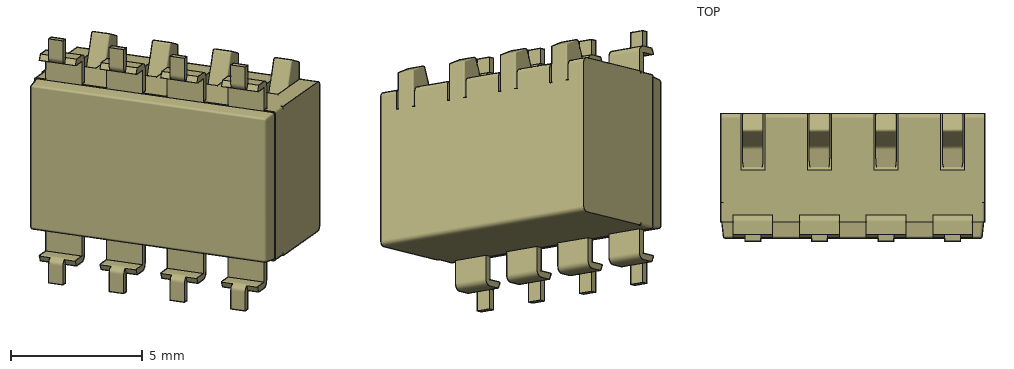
import cadquery as cq
import math


body_width = 10.06
body_height = 6.0
body_depth = 4.12
back_edge_radius = 0.19
front_band_depth = 0.72
front_band_radius = 0.1

cover_depth = 0.63
cover_step = 0.04
cover_draft = 0.07
cover_corner_radius = 0.1
cover_front_radius = 0.09

position_count = 4
pitch = 2.54

lead_thickness = 0.25
lead_width = 1.51
tail_width = 0.6
tail_tip_height = 4.9
shelf_height = 4.15
tail_front = 4.87
bend_radius = lead_thickness
blade_end_angle = 25.0
lead_embed = 0.2

slot_width = 0.92
slot_length = 2.16
slot_depth = 0.77
slot_floor_radius = 0.12

lever_width = 0.78
lever_back_height = 0.63
lever_peak_height = 0.93
lever_peak_depth = 0.68
lever_foot_depth = 1.28
lever_foot_drop = 0.65
lever_embed = 0.1
lever_edge_radius = 0.05
lever_peak_radius = 0.1
lever_foot_radius = 0.18

top = body_height / 2
position_centres = [(i - (position_count - 1) / 2) * pitch for i in range(position_count)]


def block(width, height, y_back, depth):
    """Box centred on X and Z that runs toward -Y from the plane y_back."""
    return cq.Workplane("XZ", origin=(0, y_back, 0)).rect(width, height).extrude(depth)


def extrude_across(profile, width):
    """Extrude a closed YZ profile symmetrically about X = 0."""
    return profile.extrude(width / 2, both=True)


def make_body():
    """Main block with rounded back edges, and a front band with rounded corners."""
    main_depth = body_depth - front_band_depth
    main = block(body_width, body_height, 0, main_depth)
    main = main.faces(">Y").edges("|X").fillet(back_edge_radius)
    band = block(body_width, body_height, -main_depth, front_band_depth)
    band = band.edges("|Y").fillet(front_band_radius)
    return main.union(band)


def make_cover():
    """Drafted cover with rounded corners and a rounded front rim."""
    draft_angle = math.degrees(math.atan(cover_draft / cover_depth))
    cover = (
        cq.Workplane("XZ", origin=(0, -body_depth, 0))
        .rect(body_width - 2 * cover_step, body_height - 2 * cover_step)
        .extrude(cover_depth, taper=draft_angle)
    )
    cover = cover.edges("not(#Y or |X or |Z)").fillet(cover_corner_radius)
    return cover.faces("<Y").edges().fillet(cover_front_radius)


def make_slot():
    """Recess for one lever, open at the back, with a rounded front end of the floor."""
    recess = (
        cq.Workplane("XY", origin=(0, 0, top - slot_depth))
        .rect(slot_width, 2 * slot_length)
        .extrude(slot_depth)
    )
    return recess.faces("<Z").edges("<Y").fillet(slot_floor_radius)


def make_lever():
    """Slanted lever with a low foot in front of it that slopes down to the slot floor."""
    base = top - slot_depth - lever_embed
    peak = (-lever_peak_depth, top + lever_peak_height)
    back = (0, top + lever_back_height)
    foot = (-lever_foot_depth, top - lever_foot_drop)
    foot_tip = (slot_floor_radius - slot_length, top - slot_depth)

    profile = cq.Workplane("YZ").polyline([
        (0, base),
        (foot_tip[0], base),
        foot_tip,
        foot,
        peak,
        back,
    ]).close()
    lever = extrude_across(profile, lever_width)

    roundings = [(peak, lever_peak_radius), (foot, lever_foot_radius), (back, lever_edge_radius)]
    for (y, z), radius in roundings:
        corner = cq.selectors.NearestToPointSelector((0, y, z))
        lever = lever.edges("|X").edges(corner).fillet(radius)

    outline = lever.faces("|X").faces("<X or >X").edges("not (<Z or <Y)")
    return outline.fillet(lever_edge_radius)


def point_on_bend(centre, angle):
    """YZ point on a bend around centre, at an angle in degrees counted from +Y toward +Z."""
    return (
        centre[0] + bend_radius * math.cos(math.radians(angle)),
        centre[1] + bend_radius * math.sin(math.radians(angle)),
    )


def make_lead():
    """Top lead: a wide blade bent forward, then a narrow tail bent upward."""
    blade_front = -body_depth
    blade_back = blade_front + lead_thickness
    tail_back = lead_thickness - tail_front
    shelf_bottom = shelf_height - lead_thickness
    first_bend = (blade_front, shelf_bottom)
    second_bend = (tail_back, shelf_height)

    blade = (
        cq.Workplane("YZ")
        .moveTo(blade_front, top - lead_embed)
        .lineTo(blade_back, top - lead_embed)
        .lineTo(blade_back, shelf_bottom)
        .threePointArc(point_on_bend(first_bend, 45), (blade_front, shelf_height))
        .lineTo(*second_bend)
        .lineTo(*point_on_bend(second_bend, -90 - blade_end_angle))
        .threePointArc(
            point_on_bend(second_bend, -90 - blade_end_angle / 2),
            (tail_back, shelf_bottom),
        )
        .lineTo(*first_bend)
        .close()
    )
    tail = (
        cq.Workplane("YZ")
        .moveTo(tail_back, shelf_bottom)
        .threePointArc(point_on_bend(second_bend, -135), (-tail_front, shelf_height))
        .lineTo(-tail_front, tail_tip_height)
        .lineTo(tail_back, tail_tip_height)
        .close()
    )
    return extrude_across(blade, lead_width).union(extrude_across(tail, tail_width))


result = make_body().union(make_cover())
slot = make_slot()
lever = make_lever()
top_lead = make_lead()
bottom_lead = top_lead.mirror("XY")

for x in position_centres:
    result = result.cut(slot.translate((x, 0, 0)))
    for piece in (lever, top_lead, bottom_lead):
        result = result.union(piece.translate((x, 0, 0)))